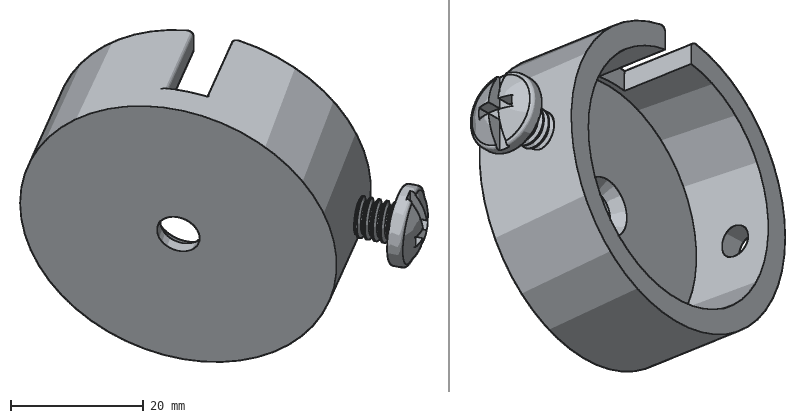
import cadquery as cq
import math

body_diameter = 50.0
body_radius = body_diameter / 2
body_depth = 18.25
wall = 4.0
plate = 4.0
centre_hole_diameter = 6.7
countersink_depth = 2.1
countersink_growth = 1.4

slot_width = 6.0
slot_start = 5.0
slot_round = 0.95

screw_y = 11.7
cross_hole_diameter = 5.2
total_length = 60.5
crown_trim = 0.095
screw_end = total_length - body_radius + crown_trim
head_radius = 6.35
head_height = 4.35
head_rim = 2.5
head_edge_round = 0.6
thread_radius = 3.2
root_radius = 2.55
thread_pitch = 1.3
thread_turns = 6.5
crest_width = 0.25
root_width = 1.2
crest_to_seat = 0.85
core_overlap = 0.2
shank_length = 10.9
tip_chamfer = 0.25
drive_width = 1.95
drive_depth = 2.7
cross_drive_length = 6.55
seat = screw_end - head_height


def cylinder_y(radius, start, end):
    """Solid cylinder about the Y axis."""
    return cq.Workplane("XZ", origin=(0, start, 0)).circle(radius).extrude(start - end)


def make_countersink():
    """Cone that widens the centre hole towards the inside of the cup."""
    hole_radius = centre_hole_diameter / 2
    small_end = cq.Workplane("XZ", origin=(0, plate - countersink_depth, 0)).circle(hole_radius)
    large_end = small_end.workplane(offset=-countersink_depth).circle(hole_radius + countersink_growth)
    return large_end.loft()


def make_body():
    """Slotted cup with a countersunk centre hole and a plain radial hole on the -X side."""
    cup = cylinder_y(body_radius, 0, body_depth).rotate((0, 0, 0), (0, 1, 0), 180)
    slot = cq.Workplane("XY").box(
        slot_width, body_depth - slot_start, body_radius, centered=(True, False, False)
    ).translate((0, slot_start, 0))
    cup = cup.cut(slot)
    margin = 0.6
    mouth = cq.selectors.BoxSelector(
        (-slot_width / 2 - margin, slot_start - margin, body_radius - margin),
        (slot_width / 2 + margin, body_depth - margin, body_radius + margin),
    )
    cup = cup.edges(mouth).fillet(slot_round)
    cup = cup.cut(cylinder_y(body_radius - wall, plate, body_depth))
    cup = cup.cut(cylinder_y(centre_hole_diameter / 2, 0, plate))
    cup = cup.cut(make_countersink())
    cross_hole = cq.Workplane("YZ", origin=(-body_radius, screw_y, 0))
    return cup.cut(cross_hole.circle(cross_hole_diameter / 2).extrude(body_radius))


def make_head():
    """Pan head: short rounded rim topped by a dome, revolved about the screw axis."""
    rim_end = seat + head_rim
    dome_height = head_height - head_rim
    dome_base = head_radius - head_edge_round
    dome_radius = (dome_base**2 + dome_height**2) / (2 * dome_height)
    mid_y = dome_base / 2
    mid_x = screw_end - dome_radius + math.sqrt(dome_radius**2 - mid_y**2)
    head = (
        cq.Workplane("XY")
        .moveTo(seat, 0)
        .lineTo(seat, dome_base)
        .radiusArc((seat + head_edge_round, head_radius), head_edge_round)
        .lineTo(rim_end - head_edge_round, head_radius)
        .radiusArc((rim_end, dome_base), head_edge_round)
        .threePointArc((mid_x, mid_y), (screw_end, 0))
        .close()
        .revolve(360, (0, 0, 0), (1, 0, 0))
    )
    drive_x = screw_end - drive_depth / 2
    long_slot = cq.Workplane("XY").box(drive_depth, drive_width, 2 * head_radius)
    cross_slot = cq.Workplane("XY").box(drive_depth, cross_drive_length, drive_width)
    return head.cut(long_slot.union(cross_slot).translate((drive_x, 0, 0)))


def make_shank():
    """Threaded shank, built along Z from its tip and then laid along X."""
    core = cq.Workplane("XY").circle(root_radius).extrude(shank_length)
    core = core.faces("<Z").chamfer(tip_chamfer)
    thread_end = shank_length - crest_to_seat + thread_pitch
    thread_start = thread_end - thread_turns * thread_pitch
    path = cq.Wire.makeHelix(thread_pitch, thread_turns * thread_pitch, root_radius)
    base = root_radius - core_overlap
    ridge = (
        cq.Workplane("XZ")
        .polyline(
            [
                (base, -root_width / 2),
                (thread_radius, -crest_width / 2),
                (thread_radius, crest_width / 2),
                (base, root_width / 2),
            ]
        )
        .close()
        .sweep(cq.Workplane(path), isFrenet=True)
        .translate((0, 0, thread_start))
    )
    shank = core.union(ridge)
    return shank.rotate((0, 0, 0), (0, 1, 0), 90).translate((seat - shank_length, 0, 0))


screw = make_head().union(make_shank()).translate((0, screw_y, 0))
result = make_body().union(screw)